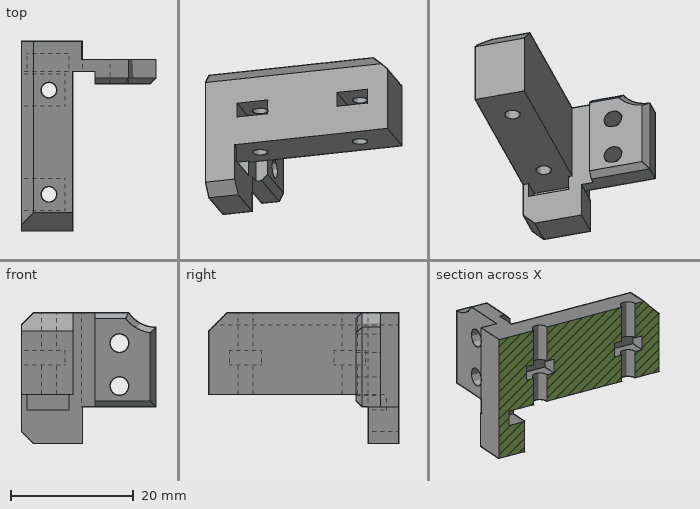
import cadquery as cq

LENGTH_X = 22.0
DEPTH_Y = 31.0
HEIGHT_Z = 21.4

BEAM_WIDTH = 8.4
BEAM_BOTTOM = 8.0
SIDE_CHAMFER = 2.0
FRONT_CHAMFER = 3.0

LEG_WIDTH = 10.0
LEG_THICKNESS = 5.0
BLOCK_WIDTH = 9.8

PLATE_BOTTOM = 6.0
PLATE_BACK_SETBACK = 3.0
PAD_LEFT = 12.0
PAD_HEIGHT = 2.0
PAD_CHAMFER = 1.0
RELIEF_RADIUS = 5.4
RELIEF_CENTRE_ABOVE_TOP = 3.0
PLATE_HOLE_DIAMETER = 3.0
PLATE_HOLE_X = 16.0
PLATE_HOLE_HEIGHTS = (9.4, 16.4)

SCREW_HOLE_DIAMETER = 2.5
SCREW_X = 4.5
SCREW_Y_POSITIONS = (6.0, 23.0)
NUT_SLOT_WIDTH = 5.2
NUT_SLOT_HEIGHT = 2.4
NUT_SLOT_MID_HEIGHT = 14.0

POCKET_LEFT = 0.95
POCKET_WIDTH = 6.85
POCKET_HEIGHT = 2.5
POCKET_DEPTH = 3.0

LEG_FRONT = DEPTH_Y - LEG_THICKNESS
PLATE_BACK = DEPTH_Y - PLATE_BACK_SETBACK
PAD_FRONT = LEG_FRONT - PAD_HEIGHT


def box_between(x_range, y_range, z_range):
    """Box spanning the given (low, high) ranges along X, Y and Z."""
    low, high = zip(x_range, y_range, z_range)
    size = [b - a for a, b in zip(low, high)]
    return cq.Workplane("XY").box(*size, centered=False).translate(low)


def make_beam_and_leg():
    """Bevelled beam joined to the leg below and the block behind it."""
    beam = box_between((0, BEAM_WIDTH), (0, DEPTH_Y), (BEAM_BOTTOM, HEIGHT_Z))
    leg = box_between((0, LEG_WIDTH), (LEG_FRONT, DEPTH_Y), (0, PLATE_BOTTOM))
    block = box_between((0, BLOCK_WIDTH), (LEG_FRONT, DEPTH_Y), (PLATE_BOTTOM, HEIGHT_Z))
    body = leg.union(block)
    body = body.faces("<Z").edges("<X").chamfer(SIDE_CHAMFER)
    body = body.union(beam)
    body = body.cut(front_wedge())
    return body.cut(side_wedge())


def front_wedge():
    """Material removed to bevel the front top edge of the beam."""
    return (
        cq.Workplane("YZ")
        .moveTo(0, HEIGHT_Z)
        .lineTo(FRONT_CHAMFER, HEIGHT_Z)
        .lineTo(0, HEIGHT_Z - FRONT_CHAMFER)
        .close()
        .extrude(BEAM_WIDTH)
    )


def side_wedge():
    """Material removed to bevel the left top edge along the whole depth."""
    return (
        cq.Workplane("XZ")
        .moveTo(0, HEIGHT_Z)
        .lineTo(SIDE_CHAMFER, HEIGHT_Z)
        .lineTo(0, HEIGHT_Z - SIDE_CHAMFER)
        .close()
        .extrude(-DEPTH_Y)
    )


def make_plate():
    """Thin web and thicker bevelled pad with a round corner relief and two holes."""
    web = box_between((BEAM_WIDTH, PAD_LEFT), (LEG_FRONT, PLATE_BACK), (PLATE_BOTTOM, HEIGHT_Z))
    pad = box_between((PAD_LEFT, LENGTH_X), (PAD_FRONT, PLATE_BACK), (PLATE_BOTTOM, HEIGHT_Z))
    relief = (
        cq.Workplane("XZ")
        .center(LENGTH_X, HEIGHT_Z + RELIEF_CENTRE_ABOVE_TOP)
        .circle(RELIEF_RADIUS)
        .extrude(-DEPTH_Y)
    )
    pad = pad.cut(relief)
    pad = pad.faces("<Y").edges("not <X").chamfer(PAD_CHAMFER)
    plate = web.union(pad)
    for height in PLATE_HOLE_HEIGHTS:
        hole = (
            cq.Workplane("XZ")
            .center(PLATE_HOLE_X, height)
            .circle(PLATE_HOLE_DIAMETER / 2)
            .extrude(-DEPTH_Y)
        )
        plate = plate.cut(hole)
    return plate


def screw_and_nut_cut(y):
    """Vertical through hole and the side slot that holds its nut."""
    hole = cq.Workplane("XY").center(SCREW_X, y).circle(SCREW_HOLE_DIAMETER / 2).extrude(HEIGHT_Z)
    half_width = NUT_SLOT_WIDTH / 2
    half_height = NUT_SLOT_HEIGHT / 2
    slot = box_between(
        (0, SCREW_X + half_width),
        (y - half_width, y + half_width),
        (NUT_SLOT_MID_HEIGHT - half_height, NUT_SLOT_MID_HEIGHT + half_height),
    )
    return hole.union(slot)


def leg_pocket():
    """Rectangular recess whose top is level with the underside of the beam."""
    return box_between(
        (POCKET_LEFT, POCKET_LEFT + POCKET_WIDTH),
        (LEG_FRONT, LEG_FRONT + POCKET_DEPTH),
        (BEAM_BOTTOM - POCKET_HEIGHT, BEAM_BOTTOM),
    )


result = make_beam_and_leg().union(make_plate())
for screw_y in SCREW_Y_POSITIONS:
    result = result.cut(screw_and_nut_cut(screw_y))
result = result.cut(leg_pocket())